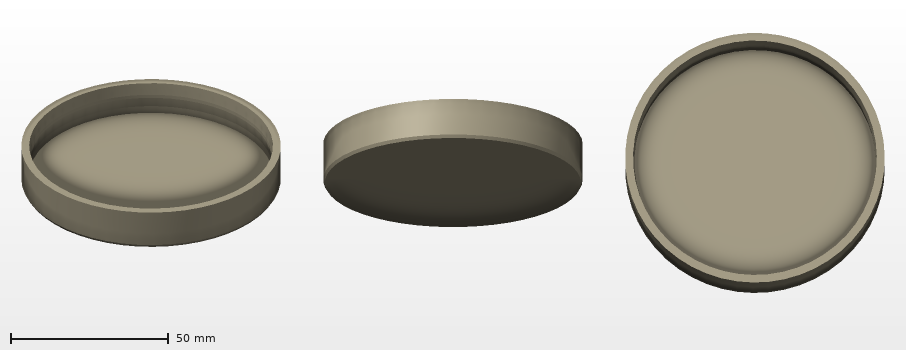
import cadquery as cq

outer_radius = 82.2 / 2
height = 13.0
floor_thickness = 2.05

bevel_height = 1.0
bevel_inset = 0.6

bore_radius = 77.2 / 2
band_radius = 76.4 / 2
lead_in_height = 4.0
band_height = 1.15
recess_height = 2.5

band_top = height - lead_in_height
band_bottom = band_top - band_height
recess_top = floor_thickness + recess_height

section = [
    (0, 0),
    (outer_radius - bevel_inset, 0),
    (outer_radius, bevel_height),
    (outer_radius, height),
    (bore_radius, height),
    (band_radius, band_top),
    (band_radius, band_bottom),
    (bore_radius, recess_top),
    (bore_radius, floor_thickness),
    (0, floor_thickness),
]

result = cq.Workplane("XZ").polyline(section).close().revolve(360, (0, 0, 0), (0, 1, 0))